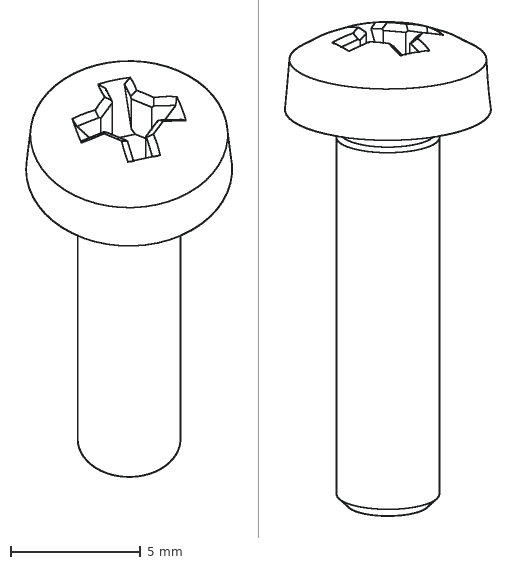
import cadquery as cq
import math

height = 19.12
head_radius = 4.0
head_height = 3.12
head_rim_radius = 3.82
head_rim_z = 18.03

shank_radius = 4.0 / 2
neck_radius = 3.65 / 2
neck_length = 0.95
neck_flare_height = 0.17
neck_flare_width = 0.08
tip_chamfer = 0.4

recess_depth = 2.2
recess_reach = 2.12
floor_reach = 0.9
slot_half_width = 0.38
flare_half_width = 0.69
corner_reach = 1.0
flare_depth = 0.25

head_base_z = height - head_height
floor_z = height - recess_depth
flare_width = flare_half_width - slot_half_width
mouth_reach = corner_reach + flare_width
margin = 0.38

dome_centre_z = (height + head_rim_z) / 2 - (head_rim_radius**2 - mouth_reach**2) / (
    2 * (height - head_rim_z)
)
dome_radius = math.hypot(mouth_reach, height - dome_centre_z)


def dome_z(radius):
    """Height of the dome at a distance from the axis."""
    return dome_centre_z + math.sqrt(dome_radius**2 - radius**2)


def make_body():
    """Revolve the head, neck and shank as one profile."""
    neck_end_z = head_base_z - neck_length
    shoulder_z = neck_end_z - (shank_radius - neck_radius)
    dome_mid_radius = head_rim_radius / 2
    return (
        cq.Workplane("XZ")
        .lineTo(shank_radius - tip_chamfer, 0)
        .lineTo(shank_radius, tip_chamfer)
        .lineTo(shank_radius, shoulder_z)
        .lineTo(neck_radius, neck_end_z)
        .lineTo(neck_radius, head_base_z - neck_flare_height)
        .lineTo(neck_radius + neck_flare_width, head_base_z)
        .lineTo(head_radius, head_base_z)
        .lineTo(head_rim_radius, head_rim_z)
        .threePointArc((dome_mid_radius, dome_z(dome_mid_radius)), (0, dome_z(0)))
        .close()
        .revolve(360, (0, 0), (0, 1))
    )


def square_frustum(half_bottom, bottom_z, half_top, top_z):
    """Centred square frustum between two heights."""
    return (
        cq.Workplane("XY", origin=(0, 0, bottom_z))
        .rect(2 * half_bottom, 2 * half_bottom)
        .workplane(offset=top_z - bottom_z)
        .rect(2 * half_top, 2 * half_top)
        .loft(ruled=True)
    )


def arm_section(radius, rim_z):
    """Cross-section of a +X arm: upright walls that flare below the surface."""
    top_z = rim_z + margin
    wide = flare_half_width + margin * flare_width / flare_depth
    half = [(slot_half_width, floor_z), (slot_half_width, rim_z - flare_depth), (wide, top_z)]
    outline = half + [(-y, z) for y, z in reversed(half)]
    return cq.Wire.makePolygon([cq.Vector(radius, y, z) for y, z in outline], close=True)


def make_arm():
    """One recess arm along +X whose flare drops outward with the dome."""
    drop = (dome_z(mouth_reach) - dome_z(recess_reach)) / (recess_reach - mouth_reach)
    end_radius = recess_reach + margin
    start_z = dome_z(recess_reach) + drop * recess_reach
    end_z = dome_z(recess_reach) - drop * margin
    sections = [arm_section(0, start_z), arm_section(end_radius, end_z)]
    return cq.Workplane(cq.Solid.makeLoft(sections, True))


def make_recess():
    """Cross with diagonal corner walls, its arm ends sloping in to a flat floor."""
    flare_z = height - flare_depth
    flare_reach = mouth_reach + flare_width * margin / flare_depth
    upright = square_frustum(corner_reach, floor_z, corner_reach, flare_z)
    flare = square_frustum(corner_reach, flare_z, flare_reach, height + margin)
    corners = upright.union(flare)
    cross = corners.rotate((0, 0, 0), (0, 0, 1), 45)
    arm = make_arm()
    for angle in range(0, 360, 90):
        cross = cross.union(arm.rotate((0, 0, 0), (0, 0, 1), angle))
    end_z = dome_z(recess_reach)
    slope = (recess_reach - floor_reach) / (end_z - floor_z)
    top_z = height + margin
    ends = square_frustum(floor_reach, floor_z, recess_reach + slope * (top_z - end_z), top_z)
    return cross.intersect(ends)


result = make_body().cut(make_recess())